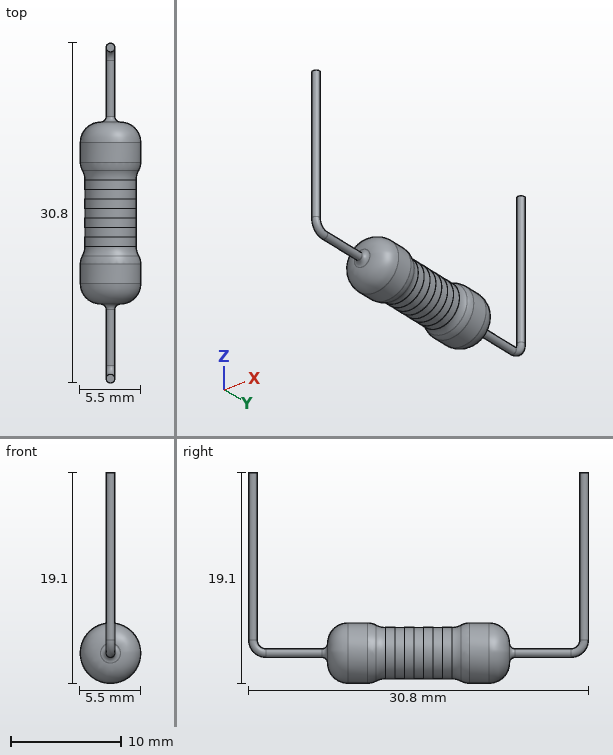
import math

import cadquery as cq


lead_diameter = 0.8
lead_pitch = 30.0
lead_bend_radius = 1.2
lead_top_z = 16.35

body_length = 16.5
cap_diameter = 5.5
core_diameter = 4.67
meniscus_radius = 0.5
cap_inner_y = 4.6

band_diameter = 4.7
band_count = 4
band_width = 0.86

lead_radius = lead_diameter / 2
cap_radius = cap_diameter / 2
core_radius = core_diameter / 2
band_radius = band_diameter / 2
body_end_y = body_length / 2
meniscus_root_radius = lead_radius + meniscus_radius
dome_radius = cap_radius - meniscus_root_radius
dome_start_y = body_end_y - dome_radius
bands_end_y = (2 * band_count - 1) * band_width / 2

neck_length = cap_inner_y - bands_end_y
neck_rise = cap_radius - core_radius
concave_length = band_width
concave_rise = neck_rise * concave_length / neck_length
neck_slope_angle = 2 * math.atan(neck_rise / neck_length)
concave_radius = concave_length / math.sin(neck_slope_angle)
concave_end = (core_radius + concave_rise, bands_end_y + concave_length)
concave_mid = (
    core_radius + concave_radius * (1 - math.cos(neck_slope_angle / 2)),
    bands_end_y + concave_radius * math.sin(neck_slope_angle / 2),
)


def make_body_end():
    """Neck, cap, dome and meniscus at the +Y end, revolved about Y; the profile is (radius, y)."""
    profile = (
        cq.Workplane("XY")
        .moveTo(0, bands_end_y)
        .lineTo(core_radius, bands_end_y)
        .threePointArc(concave_mid, concave_end)
        .tangentArcPoint((cap_radius, cap_inner_y), relative=False)
        .lineTo(cap_radius, dome_start_y)
        .tangentArcPoint((meniscus_root_radius, body_end_y), relative=False)
        .radiusArc((lead_radius, body_end_y + meniscus_radius), meniscus_radius)
        .lineTo(0, body_end_y + meniscus_radius)
        .close()
    )
    return profile.revolve(360, (0, 0, 0), (0, 1, 0))


def make_cylinder(radius, length, center_y):
    """Cylinder along Y, centred at center_y."""
    start_y = center_y - length / 2
    return cq.Workplane("XZ", origin=(0, start_y, 0)).circle(radius).extrude(-length)


def make_leads():
    """One continuous wire: down, through the body and up again."""
    end_y = lead_pitch / 2
    straight_end_y = end_y - lead_bend_radius
    path = (
        cq.Workplane("YZ")
        .moveTo(-end_y, lead_top_z)
        .lineTo(-end_y, lead_bend_radius)
        .tangentArcPoint((-straight_end_y, 0), relative=False)
        .lineTo(straight_end_y, 0)
        .tangentArcPoint((end_y, lead_bend_radius), relative=False)
        .lineTo(end_y, lead_top_z)
    )
    return cq.Workplane("XY", origin=(0, -end_y, lead_top_z)).circle(lead_radius).sweep(path)


body_end = make_body_end()
core = make_cylinder(core_radius, 2 * bands_end_y, 0)
body = core.union(body_end).union(body_end.mirror("XZ"))

for band_index in range(band_count):
    band_offset = band_index - (band_count - 1) / 2
    body = body.union(make_cylinder(band_radius, band_width, band_offset * 2 * band_width))

result = body.union(make_leads())